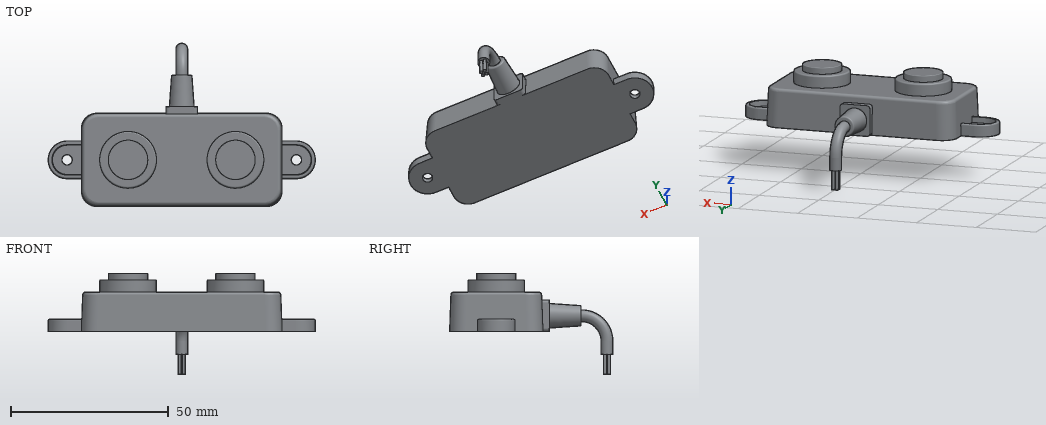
import cadquery as cq
import math

body_length = 63.6
body_width = 29.6
body_height = 12.5
body_draft = 2.0
body_corner_radius = 5.0
body_top_radius = 1.0

button_offset = 17.0
collar_diameter = 18.0
collar_top_z = 16.4
collar_edge_radius = 0.5
cap_diameter = 12.5
cap_top_z = 18.4
cap_edge_radius = 0.2

overall_length = 84.6
ear_radius = 6.0
ear_height = 3.9
ear_edge_radius = 0.5
ear_rim = 1.2
ear_floor_z = 2.1
ear_dish_draft = 5.0
screw_hole_diameter = 3.2
ear_center_x = overall_length / 2 - ear_radius

flange_size = 10.0
flange_corner_radius = 1.0
flange_face_y = 16.85
outlet_z = flange_size / 2
boot_length = 10.0
boot_base_diameter = 7.9
boot_tip_diameter = 6.5
boot_edge_radius = 0.5

cable_diameter = 3.8
cable_end_y = 36.95
cable_bend_radius = 8.0
cable_end_z = -7.2
wire_diameter = 1.0
wire_pitch = 1.25
wire_end_z = -13.54
cable_drop_y = cable_end_y - cable_diameter / 2


def make_body():
    """Drafted box with rounded corners and a rounded top edge."""
    box = cq.Workplane("XY").rect(body_length, body_width).extrude(body_height, taper=body_draft)
    rounded = box.edges("not(|X or |Y)").fillet(body_corner_radius)
    return rounded.faces(">Z").edges().fillet(body_top_radius)


def make_button(x):
    """Stepped round button: a wide collar carrying a smaller cap."""
    collar = cq.Workplane("XY").center(x, 0).circle(collar_diameter / 2).extrude(collar_top_z)
    collar = collar.faces(">Z").edges().fillet(collar_edge_radius)
    cap = cq.Workplane("XY").center(x, 0).circle(cap_diameter / 2).extrude(cap_top_z)
    cap = cap.faces(">Z").edges().fillet(cap_edge_radius)
    return collar.union(cap)


def ear_outline(radius, z):
    """Slot outline at height z, with round ends centred on the screw holes of both ears."""
    return cq.Workplane("XY", origin=(0, 0, z)).slot2D(2 * (ear_center_x + radius), 2 * radius)


def make_ears():
    """Both ears, dished inside a raised rim and drilled for a screw."""
    ears = ear_outline(ear_radius, 0).extrude(ear_height).faces(">Z").edges().fillet(ear_edge_radius)
    dish_depth = ear_height - ear_floor_z
    dish = ear_outline(ear_radius - ear_rim, ear_height).extrude(-dish_depth, taper=ear_dish_draft)
    centers = [(-ear_center_x, 0), (ear_center_x, 0)]
    holes = cq.Workplane("XY").pushPoints(centers).circle(screw_hole_diameter / 2).extrude(ear_height)
    return ears.cut(dish).cut(holes)


def make_outlet():
    """Square flange and tapered round boot on the back of the housing."""
    flange = cq.Workplane("XY").box(flange_size, flange_face_y, flange_size, centered=(True, False, False))
    flange = flange.edges("|Y").fillet(flange_corner_radius)
    boot = (
        cq.Workplane("XZ", origin=(0, flange_face_y, outlet_z))
        .circle(boot_base_diameter / 2)
        .workplane(offset=-boot_length)
        .circle(boot_tip_diameter / 2)
        .loft()
    )
    boot = boot.faces(">Y").edges().fillet(boot_edge_radius)
    return flange.union(boot)


def make_cable():
    """Round cable leaving the boot along Y and bending down to a cut end."""
    bend_start_y = cable_drop_y - cable_bend_radius
    bend_end_z = outlet_z - cable_bend_radius
    bend_offset = cable_bend_radius * math.sqrt(0.5)
    bend_middle = (bend_start_y + bend_offset, bend_end_z + bend_offset)
    path = (
        cq.Workplane("YZ")
        .moveTo(flange_face_y, outlet_z)
        .lineTo(bend_start_y, outlet_z)
        .threePointArc(bend_middle, (cable_drop_y, bend_end_z))
        .lineTo(cable_drop_y, cable_end_z)
    )
    section = cq.Workplane("XZ", origin=(0, flange_face_y, outlet_z)).circle(cable_diameter / 2)
    return section.sweep(path)


def make_wires():
    """Four bare wires in a square pattern, rooted one diameter deep in the cable end."""
    wire_length = cable_end_z + wire_diameter - wire_end_z
    return (
        cq.Workplane("XY", origin=(0, cable_drop_y, wire_end_z))
        .rarray(wire_pitch, wire_pitch, 2, 2)
        .circle(wire_diameter / 2)
        .extrude(wire_length)
    )


result = make_ears().union(make_body())
for side in (-1, 1):
    result = result.union(make_button(side * button_offset))
result = result.union(make_outlet()).union(make_cable()).union(make_wires())